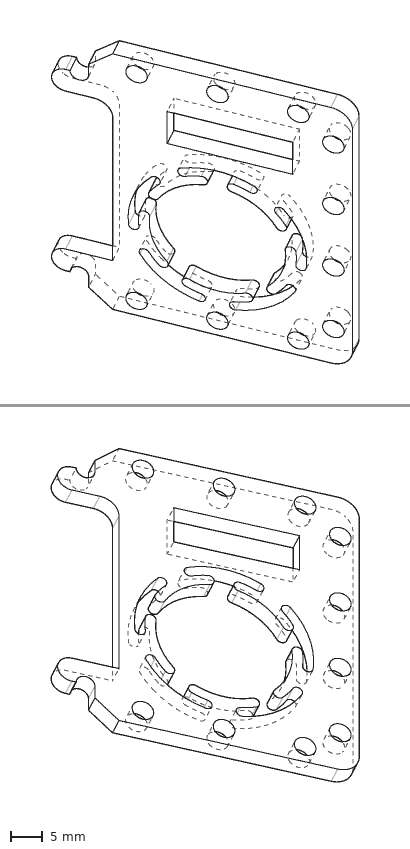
import cadquery as cq
import math

THICKNESS = 3.17
PLATE_HEIGHT = 56.01
OVERALL_LENGTH = 50.13
BODY_LEFT = 10.2
CORNER_RADIUS = 3.6

HOOK_RADIUS = 2.38
HOOK_TOP = 22.05
NOTCH_RADIUS = 1.55
NECK_LEFT = 6.2
NECK_TOP = 24.45
HOOK_FILLET = 3.2

RING_X = 27.65
RING_Z = -6.93
OUTER_RADIUS = 14.88
SLOT_WIDTH = 1.73
ARM_WIDTH = 1.8
ARM_COUNT = 5
FIRST_GAP_ANGLE = 90
GAP_HALF_ANGLE = 11.9
SLOT_HALF_ANGLE = 24.2

HOLE_DIAMETER = 3.58
HOLE_PITCH = 13.47
EDGE_ROW_Z = 24.83
SIDE_COLUMN_X = 46.96
SIDE_COLUMN_COUNT = 4

WINDOW_LENGTH = 20.9
WINDOW_HEIGHT = 7.0
WINDOW_X = 29.74
WINDOW_Z = 14.8

HALF_HEIGHT = PLATE_HEIGHT / 2
HOOK_Z = HOOK_TOP - HOOK_RADIUS
HOOK_BOTTOM = HOOK_TOP - 2 * HOOK_RADIUS
NOTCH_X = NECK_LEFT - NOTCH_RADIUS
NOTCH_BOTTOM = HOOK_TOP - NOTCH_RADIUS
HOOK_TIP_X = NOTCH_X - NOTCH_RADIUS
SLOT_INNER_RADIUS = OUTER_RADIUS - SLOT_WIDTH
BORE_RADIUS = SLOT_INNER_RADIUS - ARM_WIDTH
ARM_MID_RADIUS = BORE_RADIUS + ARM_WIDTH / 2
SLOT_MID_RADIUS = OUTER_RADIUS - SLOT_WIDTH / 2


def plate_sketch():
    """XZ workplane on the plate's rear face; sketches extrude toward -Y."""
    return cq.Workplane("XZ")


def ring_point(radius, angle):
    """Point at a polar position about the ring centre."""
    theta = math.radians(angle)
    return (RING_X + radius * math.cos(theta), RING_Z + radius * math.sin(theta))


def make_body():
    """Main rectangle with its two right-hand corners rounded."""
    body = (
        plate_sketch()
        .moveTo((BODY_LEFT + OVERALL_LENGTH) / 2, 0)
        .rect(OVERALL_LENGTH - BODY_LEFT, PLATE_HEIGHT)
        .extrude(THICKNESS)
    )
    return body.edges("|Y and >X").fillet(CORNER_RADIUS)


def make_hook(side):
    """Hook with a round nose and a half-round notch; side is +1 for upper, -1 for lower."""
    return (
        plate_sketch()
        .moveTo(BODY_LEFT, side * HALF_HEIGHT)
        .lineTo(NECK_LEFT, side * NECK_TOP)
        .lineTo(NECK_LEFT, side * HOOK_TOP)
        .threePointArc((NOTCH_X, side * NOTCH_BOTTOM), (HOOK_TIP_X, side * HOOK_TOP))
        .lineTo(HOOK_RADIUS, side * HOOK_TOP)
        .threePointArc((0, side * HOOK_Z), (HOOK_RADIUS, side * HOOK_BOTTOM))
        .lineTo(BODY_LEFT, side * HOOK_BOTTOM)
        .close()
        .extrude(THICKNESS)
    )


def make_arc_slot(mid_radius, width, centre_angle, half_angle):
    """Round-ended slot following an arc about the ring centre."""
    inner = mid_radius - width / 2
    outer = mid_radius + width / 2
    start = centre_angle - half_angle
    end = centre_angle + half_angle
    end_reach = math.degrees(width / 2 / mid_radius)
    return (
        plate_sketch()
        .moveTo(*ring_point(outer, start))
        .threePointArc(ring_point(outer, centre_angle), ring_point(outer, end))
        .threePointArc(ring_point(mid_radius, end + end_reach), ring_point(inner, end))
        .threePointArc(ring_point(inner, centre_angle), ring_point(inner, start))
        .threePointArc(ring_point(mid_radius, start - end_reach), ring_point(outer, start))
        .close()
        .extrude(THICKNESS)
    )


def make_ring_opening():
    """Cutter for the ring: a disc less the arms lining it, plus a slot behind each gap."""
    step = 360 / ARM_COUNT
    arm_half_angle = step / 2 - GAP_HALF_ANGLE
    opening = plate_sketch().moveTo(RING_X, RING_Z).circle(BORE_RADIUS + ARM_WIDTH).extrude(THICKNESS)
    for index in range(ARM_COUNT):
        gap_angle = FIRST_GAP_ANGLE + index * step
        arm_angle = gap_angle + step / 2
        opening = opening.cut(make_arc_slot(ARM_MID_RADIUS, ARM_WIDTH, arm_angle, arm_half_angle))
        opening = opening.union(make_arc_slot(SLOT_MID_RADIUS, SLOT_WIDTH, gap_angle, SLOT_HALF_ANGLE))
    return opening


def make_holes():
    """Cutter for the rows along both long edges and the column along the right side."""
    row_xs = [RING_X + offset * HOLE_PITCH for offset in (-1, 0, 1)]
    points = [(x, side * EDGE_ROW_Z) for side in (1, -1) for x in row_xs]
    lowest_z = RING_Z - HOLE_PITCH
    points += [(SIDE_COLUMN_X, lowest_z + index * HOLE_PITCH) for index in range(SIDE_COLUMN_COUNT)]
    return plate_sketch().pushPoints(points).circle(HOLE_DIAMETER / 2).extrude(THICKNESS)


def make_window():
    """Cutter for the rectangular window above the ring."""
    return (
        plate_sketch()
        .moveTo(WINDOW_X, WINDOW_Z)
        .rect(WINDOW_LENGTH, WINDOW_HEIGHT)
        .extrude(THICKNESS)
    )


def round_upper_hook_corner(plate):
    """Fillet the inside corner where the upper hook's underside meets the body's left side."""
    corner = cq.selectors.NearestToPointSelector((BODY_LEFT, -THICKNESS / 2, HOOK_BOTTOM))
    return plate.edges(corner).fillet(HOOK_FILLET)


plate = make_body().union(make_hook(1)).union(make_hook(-1))
plate = round_upper_hook_corner(plate)
result = plate.cut(make_ring_opening()).cut(make_holes()).cut(make_window())